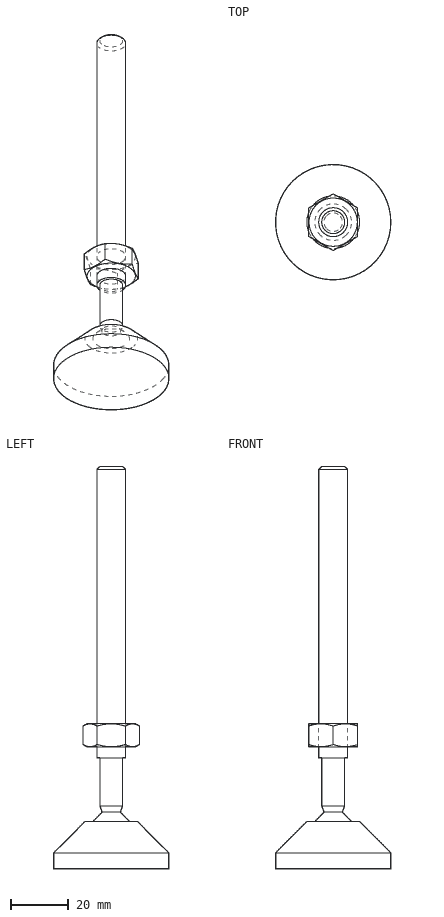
import cadquery as cq
import math

total_height = 139.3

foot_diameter = 40.0
foot_rim_height = 5.6
foot_height = 16.5
foot_top_diameter = 18.2

pivot_base_diameter = 12.7
neck_diameter = 6.4
neck_z = 19.6

shank_diameter = 8.0
shank_start_z = 21.7
thread_diameter = 10.0
thread_start_z = 38.5
tip_diameter = 8.0
tip_chamfer_height = 1.0

nut_across_flats = 17.0
nut_across_corners = nut_across_flats / math.cos(math.radians(30))
nut_face_diameter = 16.7
nut_corner_angle = 30.0
nut_bottom_z = 42.2
nut_height = 8.1


def revolve_profile(points):
    """Turn a closed (radius, height) outline about the Z axis."""
    return cq.Workplane("XZ").polyline(points).close().revolve(360, (0, 0), (0, 1))


def make_foot():
    rim_radius = foot_diameter / 2
    return revolve_profile([
        (0, 0),
        (rim_radius, 0),
        (rim_radius, foot_rim_height),
        (foot_top_diameter / 2, foot_height),
        (0, foot_height),
    ])


def make_pivot():
    return revolve_profile([
        (0, foot_height),
        (pivot_base_diameter / 2, foot_height),
        (neck_diameter / 2, neck_z),
        (0, neck_z),
    ])


def make_spindle():
    shank_radius = shank_diameter / 2
    thread_radius = thread_diameter / 2
    return revolve_profile([
        (0, neck_z),
        (neck_diameter / 2, neck_z),
        (shank_radius, shank_start_z),
        (shank_radius, thread_start_z),
        (thread_radius, thread_start_z),
        (thread_radius, total_height - tip_chamfer_height),
        (tip_diameter / 2, total_height),
        (0, total_height),
    ])


def make_nut():
    hexagon = (
        cq.Workplane("XY")
        .polygon(6, nut_across_corners)
        .extrude(nut_height)
        .rotate((0, 0, 0), (0, 0, 1), 30)
    )
    corner_radius = nut_across_corners / 2
    face_radius = nut_face_diameter / 2
    bevel_height = (corner_radius - face_radius) * math.tan(math.radians(nut_corner_angle))
    envelope = revolve_profile([
        (0, 0),
        (face_radius, 0),
        (corner_radius, bevel_height),
        (corner_radius, nut_height - bevel_height),
        (face_radius, nut_height),
        (0, nut_height),
    ])
    bore = cq.Workplane("XY").circle(thread_diameter / 2).extrude(nut_height)
    return hexagon.intersect(envelope).cut(bore).translate((0, 0, nut_bottom_z))


foot = make_foot()
pivot = make_pivot()
spindle = make_spindle()
nut = make_nut()

result = cq.Compound.makeCompound([foot.val(), pivot.val(), spindle.val(), nut.val()])